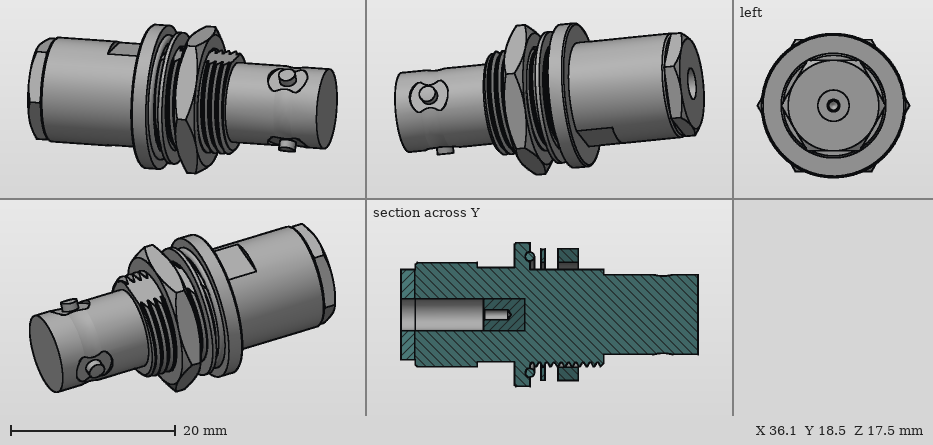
import cadquery as cq
import math

TOTAL_LENGTH = 36.07
HEX_CHAMFER_SLOPE = math.tan(math.radians(30))

REAR_NUT_FLATS = 11.0
REAR_NUT_LENGTH = 1.74
CABLE_BORE_DIA = 3.8

BARREL_DIA = 12.7
BARREL_CHAMFER = 0.25
WRENCH_FLATS = 11.45
WRENCH_FLAT_START = 9.28
CABLE_BORE_END = 10.0

FLANGE_START = 13.77
FLANGE_LENGTH = 1.91
FLANGE_END = FLANGE_START + FLANGE_LENGTH
FLANGE_DIA = 17.5
FLANGE_CHAMFER = 0.2

ORING_OUTER_DIA = 15.2
ORING_SECTION_RADIUS = 0.54
ORING_CENTRE_RADIUS = ORING_OUTER_DIA / 2 - ORING_SECTION_RADIUS

THREAD_FLANK_ANGLE = math.radians(30)
THREAD_DIA = 12.7
THREAD_END = 24.62
THREAD_PITCH = 0.88
THREAD_CREST = THREAD_PITCH / 8
THREAD_ROOT = THREAD_PITCH / 6
THREAD_DEPTH = (THREAD_PITCH - THREAD_CREST - THREAD_ROOT) / 2 / math.tan(THREAD_FLANK_ANGLE)
THREAD_END_CHAMFER = 0.45
THREAD_GROOVE_START = 14.18
THREAD_FLAT_HEIGHT = 5.5

WASHER_START = 17.0
WASHER_THICKNESS = 0.5
WASHER_DIA = 16.0
PANEL_NUT_START = 19.05
PANEL_NUT_LENGTH = 2.5
PANEL_NUT_FLATS = 16.0

MATING_DIA = 9.7
LUG_X = 31.8
LUG_DIA = 2.0
LUG_TIP_RADIUS = 5.5
LUG_COUNT = 3
SPOTFACE_DIA = 4.85
SPOTFACE_FLOOR_RADIUS = 4.45
BAND_GROOVE_WIDTH = 2.28
BAND_GROOVE_DEPTH = 0.16

CONTACT_LENGTH = 5.0
CONTACT_HOLE_DIA = 1.15
CONTACT_HOLE_DEPTH = 3.0
CONTACT_MOUTH_DIA = 1.5
DRILL_POINT_HALF_ANGLE = math.radians(59)


def cylinder(start, end, diameter):
    return cq.Workplane("YZ").workplane(offset=start).circle(diameter / 2).extrude(end - start)


def revolve_about_axis(profile):
    """Revolve a closed XY profile, drawn as axial position and radius, about the X axis."""
    return profile.revolve(360, (0, 0, 0), (1, 0, 0))


def hexagon(start, length, across_flats, chamfer_front):
    """Hexagonal prism with corners on +Y and -Y and conical chamfers at one or both ends."""
    corner_radius = across_flats / math.sqrt(3)
    flat_radius = across_flats / 2
    cone_length = (corner_radius - flat_radius) * HEX_CHAMFER_SLOPE
    end = start + length
    prism = cq.Workplane("YZ").workplane(offset=start).polygon(6, 2 * corner_radius).extrude(length)
    envelope = cq.Workplane("XY").moveTo(start, 0).lineTo(start, flat_radius)
    envelope = envelope.lineTo(start + cone_length, corner_radius)
    if chamfer_front:
        envelope = envelope.lineTo(end - cone_length, corner_radius).lineTo(end, flat_radius)
    else:
        envelope = envelope.lineTo(end, corner_radius)
    return prism.intersect(revolve_about_axis(envelope.lineTo(end, 0).close()))


def make_rear_nut():
    nut = hexagon(0, REAR_NUT_LENGTH, REAR_NUT_FLATS, chamfer_front=False)
    return nut.cut(cylinder(0, REAR_NUT_LENGTH, CABLE_BORE_DIA))


def make_panel_nut():
    nut = hexagon(PANEL_NUT_START, PANEL_NUT_LENGTH, PANEL_NUT_FLATS, chamfer_front=True)
    return nut.cut(cylinder(PANEL_NUT_START, PANEL_NUT_START + PANEL_NUT_LENGTH, THREAD_DIA))


def make_washer():
    washer_end = WASHER_START + WASHER_THICKNESS
    washer = cylinder(WASHER_START, washer_end, WASHER_DIA)
    return washer.cut(cylinder(WASHER_START, washer_end, THREAD_DIA))


def make_oring():
    section = cq.Workplane("XY").center(FLANGE_END, ORING_CENTRE_RADIUS).circle(ORING_SECTION_RADIUS)
    return section.revolve(360, (0, -ORING_CENTRE_RADIUS, 0), (1, -ORING_CENTRE_RADIUS, 0))


def make_contact():
    """Round plug with a blind drilled hole, countersunk at the mouth."""
    contact = cylinder(CABLE_BORE_END, CABLE_BORE_END + CONTACT_LENGTH, CABLE_BORE_DIA)
    hole_radius = CONTACT_HOLE_DIA / 2
    mouth_radius = CONTACT_MOUTH_DIA / 2
    hole_bottom = CABLE_BORE_END + CONTACT_HOLE_DEPTH
    point_length = hole_radius / math.tan(DRILL_POINT_HALF_ANGLE)
    hole = (
        cq.Workplane("XY")
        .moveTo(CABLE_BORE_END, 0)
        .lineTo(CABLE_BORE_END, mouth_radius)
        .lineTo(CABLE_BORE_END + mouth_radius - hole_radius, hole_radius)
        .lineTo(hole_bottom, hole_radius)
        .lineTo(hole_bottom + point_length, 0)
        .close()
    )
    return contact.cut(revolve_about_axis(hole))


def thread_groove():
    """V groove swept along a helix that starts on the -Z side and climbs towards +X."""
    overshoot = 0.05
    major_radius = THREAD_DIA / 2
    root_radius = major_radius - THREAD_DEPTH
    root_half = THREAD_ROOT / 2
    flank_run = overshoot * math.tan(THREAD_FLANK_ANGLE)
    mouth_half = (THREAD_PITCH - THREAD_CREST) / 2 + flank_run
    turns = math.ceil((THREAD_END - THREAD_GROOVE_START) / THREAD_PITCH) + 1
    path = cq.Wire.makeHelix(THREAD_PITCH, turns * THREAD_PITCH, root_radius)
    groove = (
        cq.Workplane("XZ")
        .moveTo(root_radius, -root_half)
        .lineTo(major_radius + overshoot, -mouth_half)
        .lineTo(major_radius + overshoot, mouth_half)
        .lineTo(root_radius, root_half)
        .close()
        .sweep(cq.Workplane(path), isFrenet=True)
    )
    return groove.rotate((0, 0, 0), (0, 1, 0), 90).translate((THREAD_GROOVE_START, 0, 0))


def threaded_section():
    """Overlong threaded rod, flattened along its top and trimmed to length with a chamfered front end."""
    margin = 3.0
    clearance = 0.2
    rod = cylinder(FLANGE_END - margin, THREAD_END + margin, THREAD_DIA)
    rod = rod.cut(thread_groove(), clean=False)
    above_flat = (
        cq.Workplane("XY")
        .workplane(offset=THREAD_FLAT_HEIGHT)
        .center((FLANGE_END + THREAD_END) / 2, 0)
        .rect(THREAD_END - FLANGE_END + 4 * margin, 2 * THREAD_DIA)
        .extrude(THREAD_DIA)
    )
    trim = cylinder(FLANGE_END, THREAD_END, THREAD_DIA + 2 * clearance)
    trim = trim.faces(">X").chamfer(THREAD_END_CHAMFER + clearance).cut(above_flat)
    return rod.intersect(trim, clean=False)


def rear_barrel():
    """Barrel with a chamfered rear edge and two wrench flats just behind the flange."""
    barrel = cylinder(REAR_NUT_LENGTH, FLANGE_START, BARREL_DIA).faces("<X").chamfer(BARREL_CHAMFER)
    flat_length = FLANGE_START - WRENCH_FLAT_START
    flat_depth = (BARREL_DIA - WRENCH_FLATS) / 2
    for side in (1, -1):
        flat = cq.Workplane("XY").box(flat_length, BARREL_DIA, flat_depth)
        flat_centre = side * (WRENCH_FLATS + flat_depth) / 2
        barrel = barrel.cut(flat.translate((WRENCH_FLAT_START + flat_length / 2, 0, flat_centre)))
    return barrel


def mating_end():
    """Front cylinder with a shallow rounded band groove, spotfaces and bayonet lugs."""
    mating_radius = MATING_DIA / 2
    end = cylinder(THREAD_END, TOTAL_LENGTH, MATING_DIA)

    arc_radius = ((BAND_GROOVE_WIDTH / 2) ** 2 + BAND_GROOVE_DEPTH ** 2) / (2 * BAND_GROOVE_DEPTH)
    arc_centre_radius = mating_radius - BAND_GROOVE_DEPTH + arc_radius
    band = cq.Workplane("XY").center(LUG_X, arc_centre_radius).circle(arc_radius)
    end = end.cut(band.revolve(360, (0, -arc_centre_radius, 0), (1, -arc_centre_radius, 0)))

    for index in range(LUG_COUNT):
        angle = math.radians(index * 360 / LUG_COUNT)
        outward = cq.Vector(0, math.cos(angle), math.sin(angle))
        floor_centre = cq.Vector(LUG_X, 0, 0) + outward * SPOTFACE_FLOOR_RADIUS
        floor = cq.Plane(floor_centre, xDir=(1, 0, 0), normal=outward)
        end = end.cut(cq.Workplane(floor).circle(SPOTFACE_DIA / 2).extrude(mating_radius))
        lug_root = cq.Plane((LUG_X, 0, 0), xDir=(1, 0, 0), normal=outward)
        end = end.union(cq.Workplane(lug_root).circle(LUG_DIA / 2).extrude(LUG_TIP_RADIUS))

    return end.intersect(cylinder(THREAD_END, TOTAL_LENGTH, 2 * LUG_TIP_RADIUS))


def make_housing():
    flange = cylinder(FLANGE_START, FLANGE_END, FLANGE_DIA).faces("<X").chamfer(FLANGE_CHAMFER)
    rear = rear_barrel().union(flange).cut(make_oring())
    rear = rear.cut(cylinder(REAR_NUT_LENGTH, CABLE_BORE_END + CONTACT_LENGTH, CABLE_BORE_DIA))
    return rear.union(threaded_section(), clean=False).union(mating_end(), clean=False)


rear_nut = make_rear_nut()
housing = make_housing()
contact = make_contact()
oring = make_oring()
washer = make_washer()
panel_nut = make_panel_nut()

result = cq.Compound.makeCompound(
    [
        rear_nut.val(),
        housing.val(),
        contact.val(),
        oring.val(),
        washer.val(),
        panel_nut.val(),
    ]
)